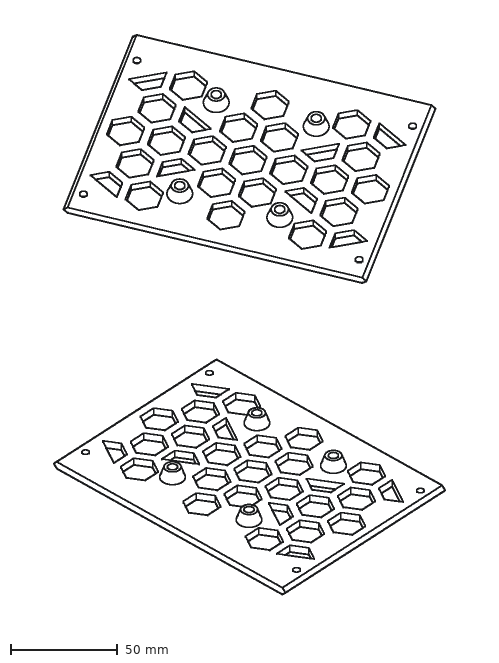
import cadquery as cq
import math

LENGTH = 148.6
WIDTH = 109.8
TOTAL_HEIGHT = 10.0
PLATE_THICKNESS = 4.0
BEVEL = PLATE_THICKNESS / 2

PATTERN_Y = -2.4

SCREW_DIAMETER = 3.5
SCREW_SPACING_X = 135.2
SCREW_SPACING_Y = 85.0

STANDOFF_SPACING_X = 49.0
STANDOFF_SPACING_Y = 58.0
STANDOFF_HEIGHT = TOTAL_HEIGHT - PLATE_THICKNESS
STANDOFF_BASE_DIAMETER = 12.0
STANDOFF_TOP_DIAMETER = 8.0
BORE_DIAMETER = 4.8
BORE_DEPTH = STANDOFF_HEIGHT
THROUGH_DIAMETER = 3.3

HEX_RADIUS = 9.0
HEX_WEB = 4.3
COLUMN_PITCH = HEX_RADIUS * math.sqrt(3) + HEX_WEB
ROW_PITCH = 17.5

FULL_HEX_COLUMNS = {
    0: [-3, -2, -1, 0, 1, 2, 3],
    1: [-2.5, -0.5, 0.5, 2.5],
    2: [-2, 0, 2],
}

FULL_HEX_CORNERS = [30, 90, 150, 210, 270, 330]
HALF_OPEN_TO_CENTRE = [150, 210, 270, 330]
HALF_OPEN_TO_END = [210, 270, 330, 390]
HALF_HEXES = [
    (3, 2, HALF_OPEN_TO_CENTRE),
    (1.5, 1, HALF_OPEN_TO_END),
]


def make_plate():
    half_length = LENGTH / 2
    profile = [
        (-half_length + BEVEL, 0),
        (half_length - BEVEL, 0),
        (half_length, PLATE_THICKNESS / 2),
        (half_length - BEVEL, PLATE_THICKNESS),
        (-half_length + BEVEL, PLATE_THICKNESS),
        (-half_length, PLATE_THICKNESS / 2),
    ]
    return cq.Workplane("XZ").polyline(profile).close().extrude(WIDTH / 2, both=True)


def rectangle_corners(spacing_x, spacing_y):
    """Four points around the pattern centre."""
    return [
        (side_x * spacing_x / 2, PATTERN_Y + side_y * spacing_y / 2)
        for side_x in (-1, 1)
        for side_y in (-1, 1)
    ]


def make_vent(column, row, corner_angles, side_x=1, side_y=1):
    """Cutter for a whole or half hexagon, mirrored to the quarter given by the sides."""
    points = []
    for angle in corner_angles:
        x = column * COLUMN_PITCH + HEX_RADIUS * math.cos(math.radians(angle))
        y = row * ROW_PITCH + HEX_RADIUS * math.sin(math.radians(angle))
        points.append((side_x * x, PATTERN_Y + side_y * y))
    return cq.Workplane("XY").polyline(points).close().extrude(PLATE_THICKNESS)


def cut_vents(body):
    for row in range(-2, 3):
        for column in FULL_HEX_COLUMNS[abs(row)]:
            body = body.cut(make_vent(column, row, FULL_HEX_CORNERS))
    for column, row, corner_angles in HALF_HEXES:
        for side_x in (-1, 1):
            for side_y in (-1, 1):
                body = body.cut(make_vent(column, row, corner_angles, side_x, side_y))
    return body


def cut_screw_holes(body):
    positions = rectangle_corners(SCREW_SPACING_X, SCREW_SPACING_Y)
    holes = cq.Workplane("XY").pushPoints(positions).circle(SCREW_DIAMETER / 2).extrude(PLATE_THICKNESS)
    return body.cut(holes)


def add_standoffs(body):
    up = cq.Vector(0, 0, 1)
    for x, y in rectangle_corners(STANDOFF_SPACING_X, STANDOFF_SPACING_Y):
        cone = cq.Solid.makeCone(
            STANDOFF_BASE_DIAMETER / 2,
            STANDOFF_TOP_DIAMETER / 2,
            STANDOFF_HEIGHT,
            cq.Vector(x, y, PLATE_THICKNESS),
            up,
        )
        bore_floor = cq.Vector(x, y, TOTAL_HEIGHT - BORE_DEPTH)
        bore = cq.Solid.makeCylinder(BORE_DIAMETER / 2, BORE_DEPTH, bore_floor, up)
        through_hole = cq.Solid.makeCylinder(THROUGH_DIAMETER / 2, TOTAL_HEIGHT, cq.Vector(x, y, 0), up)
        body = body.union(cq.Workplane(cone)).cut(cq.Workplane(bore)).cut(cq.Workplane(through_hole))
    return body


result = make_plate()
result = cut_vents(result)
result = cut_screw_holes(result)
result = add_standoffs(result)